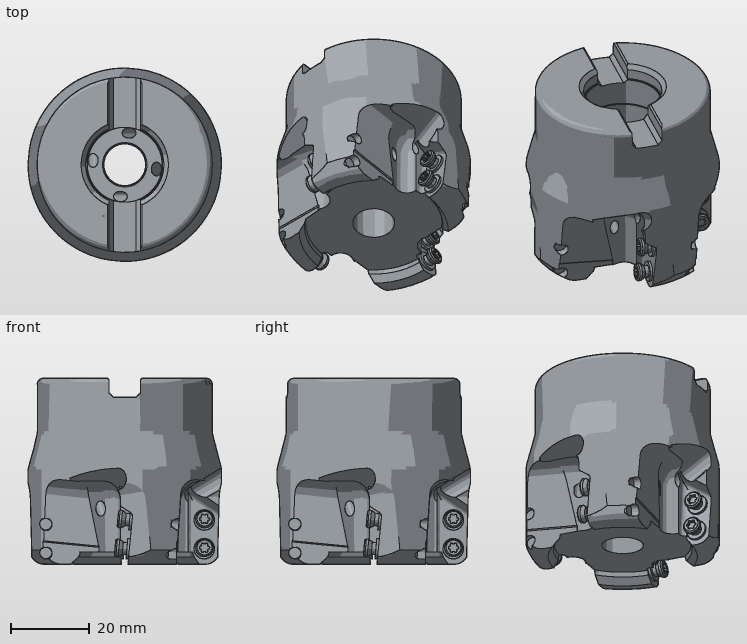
import cadquery as cq
import math


TEETH = 4
RAKE = 5.5

height = 47.37
body_radius = 24.625
hub_radius = 22.3
hub_bottom_z = 33.8
hub_blend = 0.8
hub_blend_width = 0.1
hub_edge_fillet = 1.6
cone_bottom_z = 24.8
cone_blend = 0.75
cone_blend_width = 0.1
bottom_cone_top = (body_radius, 3.7)
bottom_cone_low = (23.8, 2.15)
bottom_round_mid = (22.65, 0.7)
ring_outer_radius = 20.4
ring_inner_radius = 19.0
dish_depth = 3.1
dish_radius = 17.35
dish_lip_depth = 1.9
dish_lip_radius = 17.65

through_radius = 5.3
through_chamfer = 0.35
bore_radius = 9.53
bore_chamfer = 0.15
bore_floor_z = 28.0
relief_radius = 9.85
relief_top_z = 36.4
relief_chamfer = 0.5
mouth_radius = 9.95
mouth_depth = 3.75
mouth_chamfer_width = 1.15
mouth_chamfer_depth = 1.1
slot_width = 7.9
slot_depth = 4.85
slot_bottom_chamfer = 1.05
slot_top_chamfer = 0.45

flute_roof_z = 21.2
flute_roof_fillet = 4.5
gullet_foot_x = 13.2
gullet_x = 13.45
gullet_bend_z = 3.9
gullet_step_height = 0.3
gullet_tilt = 3.8
gullet_roof_z = 19.8
gullet_roof_fillet = 4.4
gullet_end_y = -6.9
gullet_reach = 5.0
flute_back_y = -1.1
flute_curve_radius = 3.2
flute_curve_x = 16.05
flute_strip_angle = 18.0
outside = 30.0
clearance = 1.0

runout_radius = 2.3
runout_angle = 31.0
runout_axis_z = 21.85
runout_axis_y = -1.9
runout_start_x = 17.5
runout_width = 12.0

seat_y = 0.8
pocket_wall_x = 16.1
pocket_corner_fillet = 1.1
pocket_roof_inner_z = 18.0
pocket_roof_angle = 33.5
pocket_depth = 4.0
pocket_roof_rise = 2.2
boss_radius = 2.6
boss_height = 0.65

screw_x = 20.25
screw_yaw = 0.9
screw_heights = (3.95, 11.3)
head_radius = 2.25
head_front = 3.65
head_length = 0.95
head_cone_length = 1.0
neck_radius = 1.65
shank_radius = 1.55
shank_depth = 10.0
screw_hole_depth = 25.0
socket_radius = 1.0
socket_lobe_radius = 0.33
socket_depth = 0.9
socket_lobes = 6
head_crown = 0.35

coolant_radius = 1.3
coolant_overrun = 2.0
coolant_start = cq.Vector(8.1, -1.1, bore_floor_z)
coolant_knee = cq.Vector(8.1, -8.1, 20.2)
coolant_exit = cq.Vector(13.1, -6.2, 14.4)

flat_low_x = 23.62
flat_high_x = 24.02
flat_high_z = 16.0
flat_runout_mid = (24.2, 18.6)
flat_runout_z = 20.7
flat_length = 12.0


def around(shape, index):
    return shape.rotate((0, 0, 0), (0, 0, 1), index * 360 / TEETH)


def raked(shape):
    """Lean a shape built on an upright seat to the axial rake."""
    return shape.rotate((0, seat_y, 0), (1, seat_y, 0), -RAKE)


def revolved(profile):
    return profile.close().revolve(360, (0, 0, 0), (0, 1, 0))


def placed_on_seat(shape, z):
    """Move a shape with its axis along +Y to a screw position on the seat."""
    turned = shape.rotate((0, 0, 0), (0, 0, 1), screw_yaw)
    return raked(turned.translate((screw_x, seat_y, z)))


def make_blank():
    return revolved(
        cq.Workplane("XZ")
        .moveTo(0, dish_depth)
        .lineTo(dish_radius, dish_depth)
        .lineTo(dish_lip_radius, dish_lip_depth)
        .lineTo(ring_inner_radius, 0)
        .lineTo(ring_outer_radius, 0)
        .threePointArc(bottom_round_mid, bottom_cone_low)
        .lineTo(*bottom_cone_top)
        .lineTo(body_radius, cone_bottom_z - cone_blend)
        .lineTo(body_radius - cone_blend_width, cone_bottom_z)
        .lineTo(hub_radius + hub_blend_width, hub_bottom_z - hub_blend)
        .lineTo(hub_radius, hub_bottom_z)
        .lineTo(hub_radius, height)
        .lineTo(0, height)
    ).faces(">Z").edges().fillet(hub_edge_fillet)


def make_bore():
    mouth_z = height - mouth_depth
    return revolved(
        cq.Workplane("XZ")
        .moveTo(0, 0)
        .lineTo(through_radius, 0)
        .lineTo(through_radius, bore_floor_z - through_chamfer)
        .lineTo(through_radius + through_chamfer, bore_floor_z)
        .lineTo(relief_radius, bore_floor_z)
        .lineTo(relief_radius, relief_top_z - relief_chamfer)
        .lineTo(bore_radius, relief_top_z)
        .lineTo(bore_radius, mouth_z - bore_chamfer)
        .lineTo(bore_radius + bore_chamfer, mouth_z)
        .lineTo(mouth_radius, mouth_z)
        .lineTo(mouth_radius, height - mouth_chamfer_depth)
        .lineTo(mouth_radius + mouth_chamfer_width, height)
        .lineTo(0, height)
    )


def make_drive_slot():
    half = slot_width / 2
    floor_z = height - slot_depth
    return (
        cq.Workplane("XZ")
        .moveTo(half - slot_bottom_chamfer, floor_z)
        .lineTo(half, floor_z + slot_bottom_chamfer)
        .lineTo(half, height - slot_top_chamfer)
        .lineTo(half + slot_top_chamfer, height)
        .lineTo(-half - slot_top_chamfer, height)
        .lineTo(-half, height - slot_top_chamfer)
        .lineTo(-half, floor_z + slot_bottom_chamfer)
        .lineTo(-half + slot_bottom_chamfer, floor_z)
        .close()
        .extrude(outside, both=True)
    )


def make_flute():
    """Slanting strip, rounded root and back wall under a rounded roof."""
    angle = math.radians(flute_strip_angle)
    curve_y = flute_back_y - flute_curve_radius
    tangent_x = flute_curve_x - flute_curve_radius * math.cos(angle)
    tangent_y = curve_y - flute_curve_radius * math.sin(angle)
    turn = (math.pi / 2 + angle) / 2
    mid_x = flute_curve_x - flute_curve_radius * math.sin(turn)
    mid_y = flute_back_y - flute_curve_radius * (1 - math.cos(turn))
    strip_length = outside - tangent_x
    root = (
        cq.Workplane("XY", origin=(0, 0, -clearance))
        .moveTo(outside, flute_back_y)
        .lineTo(flute_curve_x, flute_back_y)
        .threePointArc((mid_x, mid_y), (tangent_x, tangent_y))
        .lineTo(outside, tangent_y - strip_length / math.tan(angle))
        .close()
        .extrude(flute_roof_z + clearance)
    )
    root_edges = cq.selectors.BoxSelector(
        (0, -outside, flute_roof_z - clearance), (outside - clearance, outside, flute_roof_z + clearance)
    )
    return root.edges(root_edges).fillet(flute_roof_fillet)


def make_gullet():
    """Large flat in front of the flute root, leaning outward, with a rounded roof."""
    roof_x = gullet_x + (gullet_roof_z - gullet_bend_z) * math.tan(math.radians(gullet_tilt))
    gullet = (
        cq.Workplane("XZ", origin=(0, gullet_end_y, 0))
        .moveTo(gullet_foot_x, -gullet_reach)
        .lineTo(gullet_foot_x, gullet_bend_z - gullet_step_height)
        .lineTo(gullet_x, gullet_bend_z)
        .lineTo(roof_x, gullet_roof_z)
        .lineTo(outside, gullet_roof_z)
        .lineTo(outside, -gullet_reach)
        .close()
        .extrude(outside)
    )
    inner_edge = gullet.edges("|Y").edges(cq.selectors.NearestToPointSelector(
        (roof_x, gullet_end_y - outside / 2, gullet_roof_z)
    ))
    filleted = gullet.newObject(inner_edge.vals()).fillet(gullet_roof_fillet)
    return raked(filleted)


def make_runout():
    """Round-ended sloping cut that leads chips out above the insert pocket."""
    tool = (
        cq.Workplane("YZ")
        .moveTo(-runout_width, -runout_radius)
        .lineTo(0, -runout_radius)
        .threePointArc((runout_radius, 0), (0, runout_radius))
        .lineTo(-runout_width, runout_radius)
        .close()
        .extrude(outside)
    )
    drop = (body_radius - runout_start_x) * math.tan(math.radians(runout_angle))
    return (
        tool.union(cq.Workplane("XY").sphere(runout_radius))
        .rotate((0, 0, 0), (0, 1, 0), -runout_angle)
        .translate((runout_start_x, runout_axis_y, runout_axis_z - drop))
    )


def make_insert_pocket():
    """Seat and inner wall, under a sloping roof that rises away from the seat."""
    roof_fall = (outside - pocket_wall_x) * math.tan(math.radians(pocket_roof_angle))
    open_roof_z = pocket_roof_inner_z + pocket_roof_rise
    pocket = (
        cq.Workplane("XZ", origin=(0, seat_y, 0))
        .polyline([
            (pocket_wall_x, -dish_depth),
            (pocket_wall_x, pocket_roof_inner_z),
            (outside, pocket_roof_inner_z - roof_fall),
            (outside, -dish_depth),
        ]).close()
        .workplane(offset=pocket_depth)
        .polyline([
            (pocket_wall_x, -dish_depth),
            (pocket_wall_x, open_roof_z),
            (outside, open_roof_z - roof_fall),
            (outside, -dish_depth),
        ]).close()
        .loft(ruled=True)
    )
    middle_x = (pocket_wall_x + outside) / 2
    wall_edge = cq.selectors.NearestToPointSelector((pocket_wall_x, seat_y, pocket_roof_inner_z / 2))
    roof_edge = cq.selectors.NearestToPointSelector((middle_x, seat_y, pocket_roof_inner_z - roof_fall / 2))
    seat_edges = pocket.edges(wall_edge).add(pocket.edges(roof_edge))
    return raked(seat_edges.fillet(pocket_corner_fillet))


def make_seat_bosses():
    bosses = cq.Workplane("XY")
    for z in screw_heights:
        ring = (
            cq.Workplane("XZ", origin=(0, seat_y, 0))
            .center(screw_x, z)
            .circle(boss_radius)
            .extrude(boss_height)
        )
        bosses = bosses.union(ring)
    return raked(bosses)


def make_tooth_flat():
    return (
        cq.Workplane("XZ", origin=(0, flute_back_y - clearance, 0))
        .moveTo(flat_low_x, 0)
        .lineTo(flat_high_x, flat_high_z)
        .threePointArc(flat_runout_mid, (body_radius, flat_runout_z))
        .lineTo(outside, flat_runout_z)
        .lineTo(outside, 0)
        .close()
        .extrude(-flat_length)
    )


def make_screw_hole(z):
    hole = (
        cq.Workplane("XZ", origin=(0, -pocket_depth, 0))
        .circle(shank_radius)
        .extrude(-screw_hole_depth)
    )
    return placed_on_seat(hole, z)


def make_drilling(start, mouth):
    """Straight drilling from its inner end out through its mouth."""
    axis = mouth - start
    return cq.Workplane(cq.Solid.makeCylinder(coolant_radius, axis.Length + coolant_overrun, start, axis))


def make_coolant_hole():
    return make_drilling(coolant_knee, coolant_start).union(make_drilling(coolant_knee, coolant_exit))


def make_body():
    body = make_blank().cut(make_bore()).cut(make_drive_slot())
    cutters = [
        make_flute(),
        make_gullet(),
        make_runout(),
        make_insert_pocket(),
        make_tooth_flat(),
        make_coolant_hole(),
    ]
    holes = [make_screw_hole(z) for z in screw_heights]
    bosses = make_seat_bosses()
    for index in range(TEETH):
        for cutter in cutters:
            body = body.cut(around(cutter, index))
        body = body.union(around(bosses, index))
        for hole in holes:
            body = body.cut(around(hole, index))
    return body


def make_screw(z):
    """Socket-head screw along +Y: straight rim, cone to the neck, then the shank."""
    rim_end = head_length - head_front
    cone_end = rim_end + head_cone_length
    screw = (
        cq.Workplane("XY")
        .moveTo(0, -head_front)
        .lineTo(head_radius - head_crown, -head_front)
        .lineTo(head_radius, head_crown - head_front)
        .lineTo(head_radius, rim_end)
        .lineTo(neck_radius, cone_end)
        .lineTo(shank_radius, cone_end)
        .lineTo(shank_radius, shank_depth)
        .lineTo(0, shank_depth)
        .close()
        .revolve(360, (0, 0, 0), (0, 1, 0))
    )
    head_plane = cq.Workplane("XZ", origin=(0, -head_front, 0))
    socket = (
        head_plane.circle(socket_radius).extrude(-socket_depth)
        .union(
            head_plane.polarArray(socket_radius, 0, 360, socket_lobes)
            .circle(socket_lobe_radius).extrude(-socket_depth)
        )
    )
    return placed_on_seat(screw.cut(socket), z)


body = make_body()
screws = []
for index in range(TEETH):
    for z in screw_heights:
        screws.append(around(make_screw(z), index).val())

result = cq.Compound.makeCompound([body.val(), *screws])